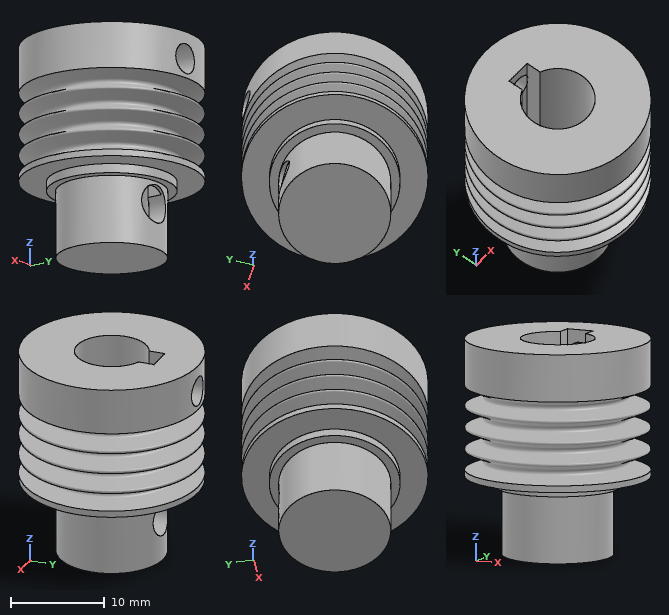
import cadquery as cq
import math

total_height = 23.5
body_diameter = 20.0
body_height = 15.0
collar_diameter = 14.0
collar_height = 1.0
hub_diameter = 12.0

groove_count = 4
groove_pitch = 2.35
groove_depth = 2.07
groove_root_radius = 0.4
groove_flank_angle = math.radians(20)
top_groove_below_top = 6.18
crest_round = 0.19

bore_diameter = 8.0
bore_floor_thickness = 2.0
keyway_width = 3.0
keyway_reach = 5.5

rim_screw_diameter = 3.3
rim_screw_below_top = 3.0
hub_screw_diameter = 4.2
hub_screw_height = 5.0

body_radius = body_diameter / 2
body_bottom = total_height - body_height
collar_bottom = body_bottom - collar_height


def stepped_blank():
    """Solid hub, collar and body."""
    blank = cq.Workplane("XY").circle(hub_diameter / 2).extrude(collar_bottom)
    blank = blank.faces(">Z").workplane().circle(collar_diameter / 2).extrude(collar_height)
    return blank.faces(">Z").workplane().circle(body_radius).extrude(body_height)


def belt_groove(center_z):
    """Ring to remove for one groove, with flanks tangent to the root arc."""
    root_radius = body_radius - groove_depth
    tangent_radius = root_radius + groove_root_radius * (1 - math.sin(groove_flank_angle))
    tangent_half_width = groove_root_radius * math.cos(groove_flank_angle)
    flank_length = body_radius - tangent_radius
    mouth_half_width = tangent_half_width + flank_length * math.tan(groove_flank_angle)
    return (
        cq.Workplane("XZ")
        .moveTo(body_radius, center_z - mouth_half_width)
        .lineTo(tangent_radius, center_z - tangent_half_width)
        .threePointArc((root_radius, center_z), (tangent_radius, center_z + tangent_half_width))
        .lineTo(body_radius, center_z + mouth_half_width)
        .close()
        .revolve(360, (0, 0, 0), (0, 1, 0))
    )


def bore():
    """Blind bore opening at the top."""
    return (
        cq.Workplane("XY", origin=(0, 0, bore_floor_thickness))
        .circle(bore_diameter / 2)
        .extrude(total_height - bore_floor_thickness)
    )


def keyway():
    """Slot beside the bore, running down into the hub screw hole."""
    return (
        cq.Workplane("XY", origin=(0, 0, hub_screw_height))
        .rect(keyway_width, keyway_reach)
        .extrude(total_height - hub_screw_height)
        .translate((0, keyway_reach / 2, 0))
    )


def screw_hole(diameter, center_z, start_y):
    """Radial hole from start_y out through the +Y side."""
    return (
        cq.Workplane("XZ", origin=(0, start_y, center_z))
        .circle(diameter / 2)
        .extrude(-body_diameter)
    )


result = stepped_blank()
for index in range(groove_count):
    groove_z = total_height - top_groove_below_top - index * groove_pitch
    result = result.cut(belt_groove(groove_z))

for index in range(groove_count - 1):
    crest_z = total_height - top_groove_below_top - (index + 0.5) * groove_pitch
    crest_zone = cq.selectors.BoxSelector(
        (-body_diameter, -body_diameter, crest_z - crest_round),
        (body_diameter, body_diameter, crest_z + crest_round),
    )
    result = result.edges(crest_zone).edges("%CIRCLE").fillet(crest_round)

result = result.cut(bore())
result = result.cut(keyway())
rim_screw_height = total_height - rim_screw_below_top
result = result.cut(screw_hole(rim_screw_diameter, rim_screw_height, keyway_reach))
result = result.cut(screw_hole(hub_screw_diameter, hub_screw_height, 0))